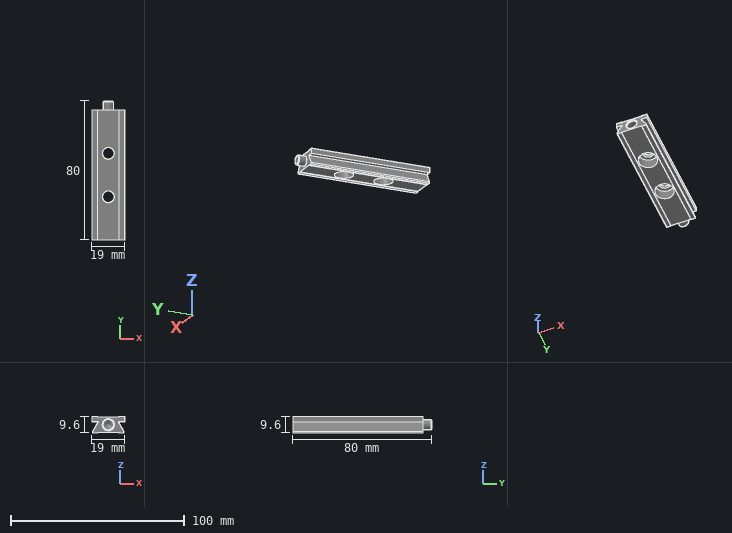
import cadquery as cq
import math

rail_length = 75.0
flange_width = 19.0
flange_height = 3.2
waist_width = 11.8
foot_width = 18.0
dovetail_angle = 60.0
rail_height = 9.6
relief_width = 12.5
relief_depth = 0.3

screw_spacing = 25.0
screw_hole_diameter = 6.6
counterbore_diameter = 11.0
counterbore_roof = 2.2

pin_diameter = 6.0
pin_protrusion = 5.0
pin_insertion = 10.0
pin_chamfer = 0.5
socket_depth = 10.0
socket_chamfer = 0.5
drill_point_angle = 118.0

pin_length = pin_insertion + pin_protrusion
pin_radius = pin_diameter / 2
top_z = rail_height / 2
bottom_z = -top_z
front_y = -(rail_length + pin_protrusion) / 2
back_y = front_y + rail_length


def make_rail_blank():
    flange_bottom_z = top_z - flange_height
    flare = (foot_width - waist_width) / 2
    foot_top_z = flange_bottom_z - flare * math.tan(math.radians(dovetail_angle))
    right_side = [
        (relief_width / 2, bottom_z + relief_depth),
        (relief_width / 2, bottom_z),
        (foot_width / 2, bottom_z),
        (foot_width / 2, foot_top_z),
        (waist_width / 2, flange_bottom_z),
        (flange_width / 2, flange_bottom_z),
        (flange_width / 2, top_z),
        (relief_width / 2, top_z),
        (relief_width / 2, top_z - relief_depth),
    ]
    left_side = [(-x, z) for x, z in reversed(right_side)]
    return (
        cq.Workplane("XZ", origin=(0, front_y, 0))
        .polyline(right_side + left_side)
        .close()
        .extrude(-rail_length)
    )


def make_screw_hole(y):
    through = (
        cq.Workplane("XY", origin=(0, y, bottom_z))
        .circle(screw_hole_diameter / 2)
        .extrude(rail_height)
    )
    counterbore_depth = rail_height - relief_depth - counterbore_roof
    counterbore = (
        cq.Workplane("XY", origin=(0, y, bottom_z))
        .circle(counterbore_diameter / 2)
        .extrude(counterbore_depth)
    )
    return through.union(counterbore)


def make_socket():
    """Drilled blind hole with a chamfered mouth, opening at the front end."""
    mouth_radius = pin_radius + socket_chamfer
    point_length = pin_radius / math.tan(math.radians(drill_point_angle / 2))
    half_section = [
        (0, front_y),
        (mouth_radius, front_y),
        (pin_radius, front_y + socket_chamfer),
        (pin_radius, front_y + socket_depth),
        (0, front_y + socket_depth + point_length),
    ]
    return cq.Workplane("XY").polyline(half_section).close().revolve(360, (0, 0), (0, 1))


def make_pin_envelope():
    return (
        cq.Workplane("XZ", origin=(0, back_y - pin_insertion, 0))
        .circle(pin_radius)
        .extrude(-pin_length)
    )


def make_rail():
    rail = make_rail_blank()
    for y in (front_y + screw_spacing, front_y + 2 * screw_spacing):
        rail = rail.cut(make_screw_hole(y))
    return rail.cut(make_socket()).cut(make_pin_envelope())


def make_pin():
    return make_pin_envelope().faces(">Y").edges().chamfer(pin_chamfer)


rail = make_rail()
pin = make_pin()

result = cq.Compound.makeCompound([rail.val(), pin.val()])